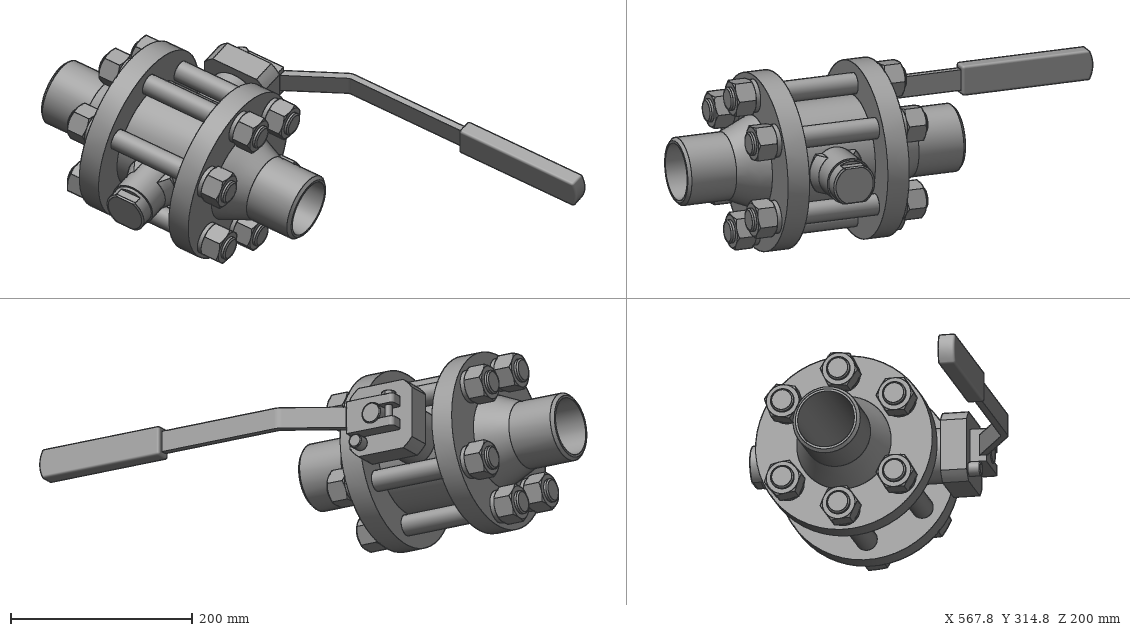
import cadquery as cq
import math

valve_length = 330.5
pipe_diameter = 76.0
weld_bevel = 3.5
bore_diameter = 64.0
cone_diameter = 106.5
pipe_length = 57
body_diameter = 126.0

flange_diameter = 200.0
flange_thickness = 25.5
flange_inner_face = 46.5

stud_circle_radius = 77.0
first_stud_angle = 35
stud_diameter = 24.0
stud_end_diameter = 26.0
stud_end_chamfer = 1.5
washer_diameter = 37.0
washer_thickness = 5.0
nut_flats = 37.0
nut_height = 22.5
nut_chamfer_angle = 30
stud_protrusion = 4.5

bonnet_diameter = 61.0
block_bottom = 102
block_top = 131.5
block_width = 80.0
block_corner_diameter = 99.0
stem_diameter = 24.0
stem_chamfer = 1.0
stem_top = 153

stop_pin_diameter = 16.0
stop_pin_offset = 25.5
stop_pin_top = 145.5
stop_pin_chamfer = 1.0

plug_diameter = 52.0
plug_boss_diameter = 63.0
plug_boss_flats = 42.5
plug_boss_end = 76.0
plug_shoulder = 101.5
plug_end = 117.5
plug_head_diameter = 49.0
plug_flats = 42.0
plug_flat_length = 11.5
plug_chamfer_width = 2.0
plug_chamfer_height = 1.0

hub_left = -28.0
hub_right = 32.0
hub_bottom = 134.0
hub_top = 152.0
hub_width = 37.5
hub_round = 4.5
clamp_gap = 16.0
clamp_bolt_x = -17
clamp_bolt_y = 143.0
clamp_bolt_diameter = 8.5
clamp_head_flats = 13.5
clamp_head_height = 5.0

lever_width = 24.0
lever_thickness = 8.0
lever_height = 187.5
lever_root_height = 149.0
lever_slope = 30
lever_bend_radius = 8.0
grip_start = 247.0
grip_end = 402.5
grip_thickness = 19.5
grip_width = 34
grip_fillet = 3.0
grip_end_bulge = 4.5

pipe_end = valve_length / 2
pipe_start = pipe_end - pipe_length
flange_outer_face = flange_inner_face + flange_thickness
washer_face = flange_outer_face + washer_thickness
nut_face = washer_face + nut_height
stud_end = nut_face + stud_protrusion


def y_cylinder(diameter, start, end, x=0, z=0):
    """Cylinder along Y from start to end."""
    plane = cq.Plane(origin=(x, start, z), xDir=(1, 0, 0), normal=(0, 1, 0))
    return cq.Workplane(plane).circle(diameter / 2).extrude(end - start)


def x_cylinder(diameter, start, end, y=0, z=0):
    """Cylinder along X from start to end."""
    return cq.Workplane("YZ", origin=(start, y, z)).circle(diameter / 2).extrude(end - start)


def pipe_and_flanges():
    """Revolved half outline of the body, both flanges, cones and pipe ends."""
    right_half = [
        (flange_inner_face, body_diameter / 2),
        (flange_inner_face, flange_diameter / 2),
        (flange_outer_face, flange_diameter / 2),
        (flange_outer_face, cone_diameter / 2),
        (pipe_start, pipe_diameter / 2),
        (pipe_end - weld_bevel, pipe_diameter / 2),
        (pipe_end, pipe_diameter / 2 - weld_bevel),
        (pipe_end, 0),
    ]
    left_half = [(-x, radius) for x, radius in reversed(right_half)]
    outline = cq.Workplane("XY").polyline(left_half + right_half).close()
    return outline.revolve(360, (0, 0, 0), (1, 0, 0))


def hex_nut(flats, height):
    """Hexagon standing on XY with a corner along X, both ends chamfered down to the flats diameter."""
    corner_radius = flats / math.sqrt(3)
    drop = (corner_radius - flats / 2) * math.tan(math.radians(nut_chamfer_angle))
    hexagon = cq.Workplane("XY").polygon(6, 2 * corner_radius).extrude(height)
    envelope = (
        cq.Workplane("XZ")
        .moveTo(0, 0)
        .lineTo(flats / 2, 0)
        .lineTo(corner_radius, drop)
        .lineTo(corner_radius, height - drop)
        .lineTo(flats / 2, height)
        .lineTo(0, height)
        .close()
        .revolve(360, (0, 0, 0), (0, 1, 0))
    )
    return hexagon.intersect(envelope)


def stud_end_with_nut():
    """Washer, nut and thread end on the +X flange face, centred on the X axis, a nut corner along Y."""
    washer = x_cylinder(washer_diameter, flange_outer_face, washer_face)
    thread = x_cylinder(stud_end_diameter, flange_outer_face, stud_end)
    thread = thread.faces(">X").chamfer(stud_end_chamfer)
    nut = (
        hex_nut(nut_flats, nut_height)
        .rotate((0, 0, 0), (0, 0, 1), 90)
        .rotate((0, 0, 0), (0, 1, 0), 90)
        .translate((washer_face, 0, 0))
    )
    return washer.union(nut).union(thread)


def stud(angle):
    """Full-length stud with a nut at either end, turned about X to its place on the stud circle."""
    end = stud_end_with_nut()
    shank = x_cylinder(stud_diameter, -flange_outer_face, flange_outer_face)
    return (
        shank.union(end)
        .union(end.mirror("YZ"))
        .rotate((0, 0, 0), (1, 0, 0), -first_stud_angle)
        .translate((0, stud_circle_radius, 0))
        .rotate((0, 0, 0), (1, 0, 0), angle)
    )


def bonnet():
    """Neck, square gland block with corners turned round, stem and lever stop pin."""
    neck = y_cylinder(bonnet_diameter, 0, block_bottom)
    block_height = block_top - block_bottom
    block = cq.Workplane("XY").box(block_width, block_height, block_width)
    block = block.translate((0, block_bottom + block_height / 2, 0))
    block = block.intersect(y_cylinder(block_corner_diameter, block_bottom, block_top))
    stem = y_cylinder(stem_diameter, block_top, stem_top).faces(">Y").chamfer(stem_chamfer)
    stop_pin = y_cylinder(stop_pin_diameter, block_top, stop_pin_top, stop_pin_offset, -stop_pin_offset)
    stop_pin = stop_pin.faces(">Y").chamfer(stop_pin_chamfer)
    return neck.union(block).union(stem).union(stop_pin)


def plug_head():
    """Chamfered end of the bottom plug with two wrench flats."""
    head = y_cylinder(plug_head_diameter, -plug_end, -plug_shoulder)
    flat_stock = cq.Workplane("XY").box(plug_head_diameter, plug_flat_length, plug_flats)
    flat_stock = flat_stock.translate((0, plug_flat_length / 2 - plug_end, 0))
    round_stock = y_cylinder(plug_head_diameter, plug_flat_length - plug_end, -plug_shoulder)
    head = head.intersect(flat_stock.union(round_stock))
    return head.faces("<Y").chamfer(plug_chamfer_height, plug_chamfer_width)


def plug_boss():
    """Conical boss at the root of the plug, with a flat on its upper and lower side."""
    root_radius = plug_boss_diameter / 2
    boss = (
        cq.Workplane("XY")
        .moveTo(0, 0)
        .lineTo(root_radius, 0)
        .lineTo(root_radius, -body_diameter / 2)
        .lineTo(plug_diameter / 2, -plug_boss_end)
        .lineTo(0, -plug_boss_end)
        .close()
        .revolve(360, (0, 0, 0), (0, 1, 0))
    )
    return boss.intersect(cq.Workplane("XY").box(plug_boss_diameter, 2 * plug_boss_end, plug_boss_flats))


def make_valve():
    """Valve body with its bonnet, plug, studs and nuts, bored through along X."""
    body = pipe_and_flanges().union(bonnet())
    body = body.union(y_cylinder(plug_diameter, -plug_shoulder, 0)).union(plug_boss()).union(plug_head())
    for angle in (first_stud_angle, 90, 180 - first_stud_angle):
        upper_stud = stud(angle)
        body = body.union(upper_stud).union(upper_stud.mirror("XY"))
    return body.cut(x_cylinder(bore_diameter, -pipe_end, pipe_end))


def lever_hub():
    """Split clamp block round the stem, with its clamp bolt."""
    hub = (
        cq.Workplane("XY", origin=(0, 0, -hub_width / 2))
        .moveTo(hub_left, hub_bottom)
        .lineTo(hub_right, hub_bottom)
        .lineTo(hub_right, hub_top)
        .lineTo(hub_left, hub_top)
        .close()
        .extrude(hub_width)
        .edges("|Z and <X")
        .fillet(hub_round)
    )
    slot = cq.Workplane("XY").box(-hub_left, hub_top - hub_bottom, clamp_gap)
    slot = slot.translate((hub_left / 2, (hub_top + hub_bottom) / 2, 0))
    hub = hub.cut(slot).cut(y_cylinder(stem_diameter, hub_bottom, hub_top))
    bolt_axis = cq.Workplane("XY").center(clamp_bolt_x, clamp_bolt_y)
    shank = bolt_axis.circle(clamp_bolt_diameter / 2).extrude(hub_width / 2, both=True)
    head = (
        hex_nut(clamp_head_flats, clamp_head_height)
        .rotate((0, 0, 0), (0, 0, 1), 90)
        .translate((clamp_bolt_x, clamp_bolt_y, hub_width / 2))
    )
    return hub.union(shank).union(head)


def lever_bar():
    """Flat bar that rises from the hub, bends and runs straight into the grip."""
    slope = math.radians(lever_slope)
    half = lever_thickness / 2
    root_half = half / math.cos(slope)
    bend_x = hub_right + (lever_height - lever_root_height) / math.tan(slope)
    bend_shift = half * math.tan(slope / 2)
    outline = [
        (hub_right, lever_root_height + root_half),
        (bend_x - bend_shift, lever_height + half),
        (grip_start, lever_height + half),
        (grip_start, lever_height - half),
        (bend_x + bend_shift, lever_height - half),
        (hub_right, lever_root_height - root_half),
    ]
    bar = cq.Workplane("XY", origin=(0, 0, -lever_width / 2)).polyline(outline).close()
    bar = bar.extrude(lever_width)
    outer_bend = cq.selectors.NearestToPointSelector((bend_x - bend_shift, lever_height + half, 0))
    inner_bend = cq.selectors.NearestToPointSelector((bend_x + bend_shift, lever_height - half, 0))
    bar = bar.edges(outer_bend).fillet(lever_bend_radius + lever_thickness)
    return bar.edges(inner_bend).fillet(lever_bend_radius)


def lever_grip():
    """Rectangular grip with a bulged free end and every edge rounded."""
    half_width = grip_width / 2
    shoulder = grip_end - grip_end_bulge
    return (
        cq.Workplane("XZ", origin=(0, lever_height + grip_thickness / 2, 0))
        .moveTo(grip_start, -half_width)
        .lineTo(shoulder, -half_width)
        .threePointArc((grip_end, 0), (shoulder, half_width))
        .lineTo(grip_start, half_width)
        .close()
        .extrude(grip_thickness)
        .edges()
        .fillet(grip_fillet)
    )


def make_lever():
    """Lever with its clamp hub, bar and grip."""
    return lever_hub().union(lever_bar()).union(lever_grip())


valve = make_valve()
lever = make_lever()
result = cq.Compound.makeCompound([valve.val(), lever.val()])